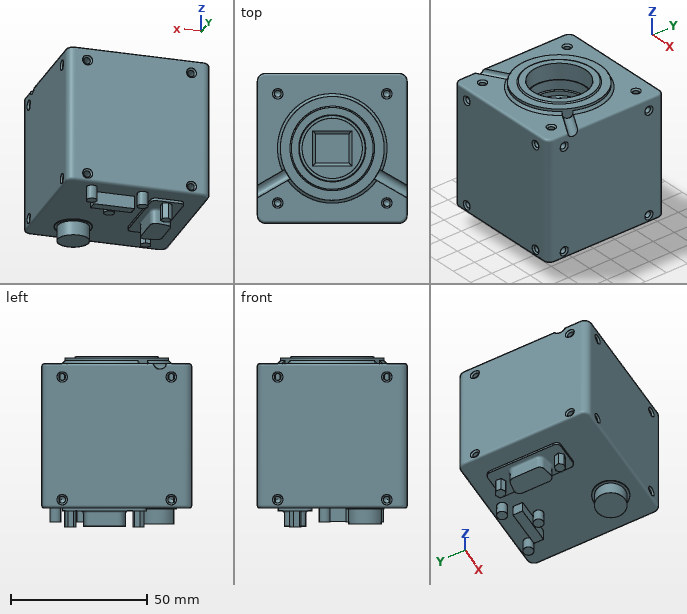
import cadquery as cq
import math

body_side = 55.0
body_height = 53.0
corner_radius = 3.0
edge_radius = 1.0

mount_height = 2.6
collar_base_radius = 20.1
flange_radius = 19.05
flange_underside_height = collar_base_radius - flange_radius
lip_radius = 15.5
lip_height = 0.5
flange_top_height = mount_height - lip_height
mount_top = body_height + mount_height

thread_bore = (12.3, 7.0)
rear_bore = (12.05, 11.2)
sensor_bore = (11.05, 13.2)
window_length = 14.3
window_width = 12.8
window_taper_inset = 1.05
window_depth = window_taper_inset

groove_radius = 2.0
groove_angle = 30.0
groove_length = body_side

hole_radius = 1.25
hole_mouth_radius = 1.9
hole_depth = 6.45
drill_tip_angle = 118.0
hole_offset = 20.0
side_hole_low = 3.1
side_hole_drop = 4.9
side_hole_high = body_height - side_hole_drop

dsub_center = (-13.6, 4.5)
dsub_plate_x = 12.5
dsub_plate_y = 30.8
dsub_plate_thickness = 1.0
dsub_plate_corner = 1.9
shell_width = 7.95
shell_short_side = 13.6
shell_slant = 10.0
shell_corner = 2.2
shell_depth = 6.7
shell_root_fillet = 0.9
jack_pitch = 25.0
jack_across_corners = 4.25
jack_depth = 7.0
jack_turns = (15.0, 34.0)

socket_center = (12.0, -14.9)
socket_radius = 6.0
socket_depth = 5.9
socket_rim_radius = 7.0
socket_rim_thickness = 0.4

post_radius = 2.0
post_depth = 5.15
post_pitch = 9.8
middle_post = (7.0, 12.7)
block_length = 15.6
block_width = 4.0
block_depth = 4.9
block_center_y = 17.0


def make_housing():
    """Square block with rounded corners and rounded top and bottom rims."""
    block = cq.Workplane("XY").rect(body_side, body_side).extrude(body_height)
    block = block.edges("|Z").fillet(corner_radius)
    return block.faces("<Z or >Z").edges().fillet(edge_radius)


def make_mount():
    """Turned lens mount: conical collar, flat flange and chamfered lip."""
    profile = [
        (0, -edge_radius),
        (collar_base_radius, -edge_radius),
        (collar_base_radius, 0),
        (flange_radius, flange_underside_height),
        (flange_radius, flange_top_height),
        (lip_radius, flange_top_height),
        (lip_radius - lip_height, mount_height),
        (0, mount_height),
    ]
    mount = cq.Workplane("XZ").polyline(profile).close().revolve(360, (0, 0), (0, 1))
    return mount.translate((0, 0, body_height))


def make_groove(angle):
    """Round-bottomed radial groove that stops under the flange's outer wall."""
    floor = cq.Workplane("YZ").circle(groove_radius).extrude(groove_length)
    walls = (
        cq.Workplane("YZ")
        .center(0, flange_underside_height / 2)
        .rect(2 * groove_radius, flange_underside_height)
        .extrude(groove_length)
    )
    ceiling = (
        cq.Workplane("XY")
        .rect(2 * groove_length, 2 * groove_radius)
        .extrude(groove_radius)
        .translate((0, 0, flange_underside_height))
    )
    core = (
        cq.Workplane("XY")
        .circle(flange_radius)
        .extrude(2 * groove_radius, both=True)
    )
    channel = floor.union(walls).cut(ceiling).cut(core)
    return channel.rotate((0, 0, 0), (0, 0, 1), angle).translate((0, 0, body_height))


def make_bore():
    """Stepped round bore ending in a tapered rectangular sensor window."""
    steps = cq.Workplane("XY")
    for radius, depth in (thread_bore, rear_bore, sensor_bore):
        step = cq.Workplane("XY", origin=(0, 0, mount_top)).circle(radius).extrude(-depth)
        steps = steps.union(step)
    window = (
        cq.Workplane("XY", origin=(0, 0, mount_top - sensor_bore[1]))
        .rect(window_length, window_width)
        .workplane(offset=-window_depth)
        .rect(window_length - 2 * window_taper_inset, window_width - 2 * window_taper_inset)
        .loft(ruled=True)
    )
    return steps.union(window)


def make_hole():
    """Countersunk blind hole along -Z with a drill-point end; mouth at the origin."""
    countersink_depth = hole_mouth_radius - hole_radius
    tip_length = hole_radius / math.tan(math.radians(drill_tip_angle / 2))
    profile = [
        (0, 0),
        (hole_mouth_radius, 0),
        (hole_radius, -countersink_depth),
        (hole_radius, -hole_depth),
        (0, -hole_depth - tip_length),
    ]
    return cq.Workplane("XZ").polyline(profile).close().revolve(360, (0, 0), (0, 1))


def drill_holes(part):
    """Four holes in the top face and four in each side face."""
    hole = make_hole()
    side_hole = hole.rotate((0, 0, 0), (1, 0, 0), 90)
    for x in (-hole_offset, hole_offset):
        for y in (-hole_offset, hole_offset):
            part = part.cut(hole.translate((x, y, body_height)))
        for z in (side_hole_low, side_hole_high):
            placed = side_hole.translate((x, -body_side / 2, z))
            for turn in (0, 90, 180, 270):
                part = part.cut(placed.rotate((0, 0, 0), (0, 0, 1), turn))
    return part


def make_dsub():
    """D-sub connector: mounting plate, D-shaped shell and two hexagonal jacks."""
    plate = cq.Workplane("XY").rect(dsub_plate_x, dsub_plate_y).extrude(-dsub_plate_thickness)
    plate = plate.edges("|Z").fillet(dsub_plate_corner)

    half_width = shell_width / 2
    half_short = shell_short_side / 2
    half_long = half_short + shell_width * math.tan(math.radians(shell_slant))
    outline = [
        (-half_width, -half_short),
        (half_width, -half_long),
        (half_width, half_long),
        (-half_width, half_short),
    ]
    shell = cq.Workplane("XY").polyline(outline).close().extrude(-shell_depth)
    shell = shell.edges("|Z").fillet(shell_corner)
    dsub = plate.union(shell)
    reach = shell_root_fillet / 2
    root_edges = cq.selectors.BoxSelector(
        (-half_width - reach, -half_long, -dsub_plate_thickness - reach),
        (half_width + reach, half_long, -dsub_plate_thickness + reach),
        boundingbox=True,
    )
    dsub = dsub.edges(root_edges).fillet(shell_root_fillet)

    for side, turn in zip((-1, 1), jack_turns):
        jack = cq.Workplane("XY").polygon(6, jack_across_corners).extrude(-jack_depth)
        jack = jack.rotate((0, 0, 0), (0, 0, 1), turn)
        dsub = dsub.union(jack.translate((0, side * jack_pitch / 2, 0)))
    return dsub.translate((*dsub_center, 0))


def make_socket():
    """Round socket with a thin rim against the housing."""
    base = cq.Workplane("XY").center(*socket_center)
    rim = base.circle(socket_rim_radius).extrude(-socket_rim_thickness)
    return rim.union(base.circle(socket_radius).extrude(-socket_depth))


def make_posts_and_block():
    """Terminal block with a post on its -Y side and one beyond each end."""
    x, y = middle_post
    posts = [(x - post_pitch, y + post_pitch), (x, y), (x + post_pitch, y + post_pitch)]
    block = cq.Workplane("XY").center(x, block_center_y).rect(block_length, block_width)
    block = block.extrude(-block_depth)
    return block.union(cq.Workplane("XY").pushPoints(posts).circle(post_radius).extrude(-post_depth))


result = make_housing().union(make_mount()).cut(make_bore())
for groove_direction in (-groove_angle, 180 + groove_angle):
    result = result.cut(make_groove(groove_direction))
result = drill_holes(result)
result = result.union(make_dsub()).union(make_socket()).union(make_posts_and_block())